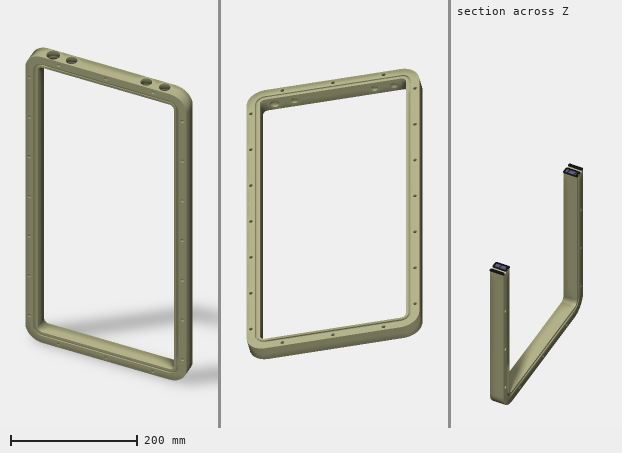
import cadquery as cq

WIDTH = 280.0
THICKNESS = 24.0
HEIGHT = 590.0
CORNER_RADIUS = 30.0

RAIL_WIDTH = 22.0
WINDOW_RADIUS = CORNER_RADIUS - RAIL_WIDTH

GROOVE_INSET = 14.0
GROOVE_WIDTH = 3.5
GROOVE_DEPTH = 2.05

SCREW_DIAMETER = 6.0
SCREW_INSET = 7.0
SCREW_PITCH = 82.0
SCREWS_PER_SHORT_RAIL = 3
SCREWS_PER_LONG_RAIL = 7

OUTER_PORT_X = 97.0
INNER_PORT_X = 65.0
PORT_DEPTH = 10.5
PORT_BORE = 11.0
PORT_COUNTERBORE = 18.0
LARGE_PORT_BORE = 15.0
LARGE_PORT_COUNTERBORE = 22.0

FRONT_Y = -THICKNESS / 2
TOP_Z = HEIGHT / 2


def rounded_block(inset, radius, depth):
    """Block set in from the outer outline, reaching back from the front face."""
    return (
        cq.Workplane("XY")
        .box(WIDTH - 2 * inset, depth, HEIGHT - 2 * inset)
        .edges("|Y")
        .fillet(radius)
        .translate((0, FRONT_Y + depth / 2, 0))
    )


def seal_groove():
    """Ring of material removed for the seal."""
    inner_inset = GROOVE_INSET + GROOVE_WIDTH
    outer = rounded_block(GROOVE_INSET, CORNER_RADIUS - GROOVE_INSET, GROOVE_DEPTH)
    inner = rounded_block(inner_inset, CORNER_RADIUS - inner_inset, GROOVE_DEPTH)
    return outer.cut(inner)


def row_positions(count):
    """Screw positions along one rail, centred on its middle."""
    return [(i - (count - 1) / 2) * SCREW_PITCH for i in range(count)]


def screw_holes():
    """Cylinders that cut the screw holes in all four rails."""
    side_x = WIDTH / 2 - SCREW_INSET
    end_z = HEIGHT / 2 - SCREW_INSET
    points = []
    for side in (-1, 1):
        points += [(x, side * end_z) for x in row_positions(SCREWS_PER_SHORT_RAIL)]
        points += [(side * side_x, z) for z in row_positions(SCREWS_PER_LONG_RAIL)]
    return (
        cq.Workplane("XZ")
        .pushPoints(points)
        .circle(SCREW_DIAMETER / 2)
        .extrude(THICKNESS / 2, both=True)
    )


def port(x, bore, counterbore):
    """Counterbored hole from the top face into the window."""
    top = cq.Workplane("XY", origin=(x, 0, TOP_Z))
    through = top.circle(bore / 2).extrude(-RAIL_WIDTH)
    return top.circle(counterbore / 2).extrude(-PORT_DEPTH).union(through)


frame = rounded_block(0, CORNER_RADIUS, THICKNESS)
frame = frame.cut(rounded_block(RAIL_WIDTH, WINDOW_RADIUS, THICKNESS))
frame = frame.cut(seal_groove())
frame = frame.cut(screw_holes())

frame = frame.cut(port(-OUTER_PORT_X, LARGE_PORT_BORE, LARGE_PORT_COUNTERBORE))
for port_x in (-INNER_PORT_X, INNER_PORT_X, OUTER_PORT_X):
    frame = frame.cut(port(port_x, PORT_BORE, PORT_COUNTERBORE))

result = frame